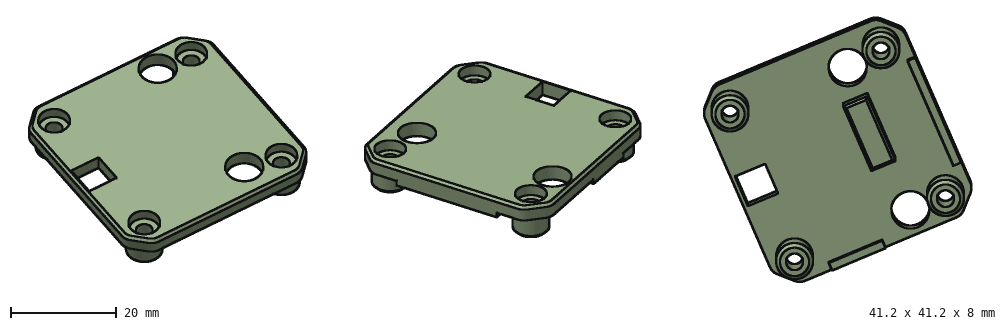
import cadquery as cq

plate_size = 41.2
plate_thickness = 3.0
corner_clip = 4.0
corner_radius = 2.6
top_chamfer = 0.6
half_size = plate_size / 2

standoff_height = 5.0
standoff_diameter = 7.0
standoff_chamfer = 0.75
screw_pitch = 31.0
screw_hole_diameter = 3.2
screw_head_diameter = 6.0
screw_head_depth = 2.2

plate_bottom = standoff_height
plate_top = plate_bottom + plate_thickness

cable_hole_diameter = 7.2
cable_hole_centers = [(-15.85, 8.15), (14.05, 8.05)]

window_size = 6.2
window_edge_margin = 0.8

pad_height = 1.0
pad_depth = 1.6
back_pad_length = 22.0
left_pad_length = 11.0
left_pad_center_y = -4.5

block_length = 13.6
block_width = 5.0
block_height = 3.4
block_chamfer = 0.5
block_center = (1.3, 7.05)


def make_plate():
    """Square plate with clipped corners, rounded clips and a chamfered top rim."""
    plate = cq.Workplane("XY").workplane(offset=plate_bottom).rect(plate_size, plate_size)
    plate = plate.extrude(plate_thickness)
    plate = plate.edges("|Z").chamfer(corner_clip)
    plate = plate.edges("|Z").fillet(corner_radius)
    return plate.faces(">Z").chamfer(top_chamfer)


def hanging_box(length, width, height, center):
    """Box that hangs from the underside of the plate."""
    base = cq.Workplane("XY").workplane(offset=plate_bottom).center(*center)
    return base.rect(length, width).extrude(-height)


def at_screws(height):
    """Workplane at a height with the four screw positions selected."""
    base = cq.Workplane("XY").workplane(offset=height)
    return base.rect(screw_pitch, screw_pitch, forConstruction=True).vertices()


def make_standoffs():
    """Four round feet with chamfered lower ends."""
    standoffs = at_screws(0).circle(standoff_diameter / 2).extrude(standoff_height)
    return standoffs.faces("<Z").chamfer(standoff_chamfer)


def make_pads():
    """Shallow pads along the +Y and -X sides."""
    pad_center = half_size - pad_depth / 2
    back_pad = hanging_box(back_pad_length, pad_depth, pad_height, (0, pad_center))
    left_pad = hanging_box(pad_depth, left_pad_length, pad_height, (-pad_center, left_pad_center_y))
    return back_pad.union(left_pad)


def make_block():
    """Support block with a chamfered lower face."""
    block = hanging_box(block_length, block_width, block_height, block_center)
    return block.faces("<Z").chamfer(block_chamfer)


def make_screw_holes():
    """Through holes with counterbores for the screw heads."""
    holes = at_screws(0).circle(screw_hole_diameter / 2).extrude(plate_top)
    heads = at_screws(plate_top).circle(screw_head_diameter / 2).extrude(-screw_head_depth)
    return holes.union(heads)


def make_openings():
    """Cable holes and square window, cut through the plate."""
    base = cq.Workplane("XY").workplane(offset=plate_bottom)
    cable_holes = base.pushPoints(cable_hole_centers).circle(cable_hole_diameter / 2)
    cable_holes = cable_holes.extrude(plate_thickness)
    window_center_y = -half_size + window_edge_margin + window_size / 2
    window = base.center(0, window_center_y).rect(window_size, window_size).extrude(plate_thickness)
    return cable_holes.union(window)


result = make_plate().cut(make_openings())
result = result.union(make_standoffs()).union(make_pads()).union(make_block())
result = result.cut(make_screw_holes())